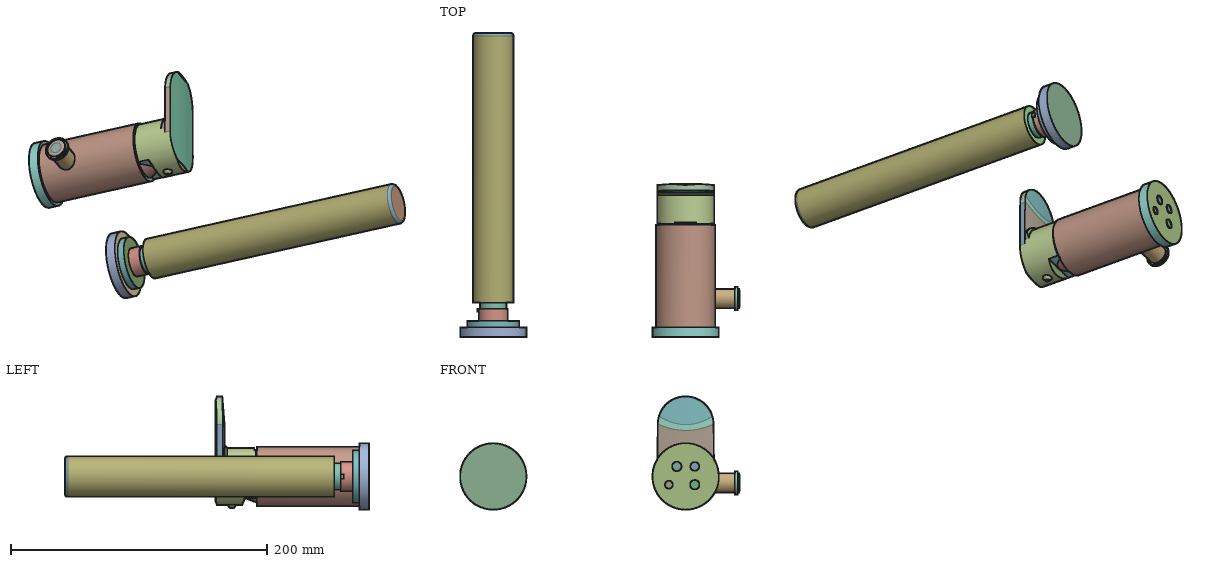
import cadquery as cq
import math

MIXER_X = 150.0
OVERALL_WIDTH = 218.5
OVERALL_HEIGHT = 88.5

FLANGE_DIAMETER = 52.0
FLANGE_RADIUS = FLANGE_DIAMETER / 2
FLANGE_THICKNESS = 7.5

HOLDER_STEP_RADIUS = 20.5
HOLDER_STEP_END = 12.8
SOCKET_RADIUS = 11.5
SOCKET_END = 22.0
LUG_REACH = 12.4
LUG_WIDTH = 3.8
LUG_LENGTH = 2.4
WAND_NECK_RADIUS = 10.5
WAND_RADIUS = 16.0
WAND_START = 27.0
WAND_END = 237.5
WAND_TIP_FILLET = 2.4

BODY_RADIUS = 23.3
BODY_END = 87.6
COLLAR_RADIUS = 20.5
COLLAR_TIP_RADIUS = 16.6
COLLAR_END = 97.4
PORT_DEPTH = 0.5
PORTS = [(-7.0, 7.8, 7.4), (7.1, 7.8, 7.0), (7.1, -6.5, 7.4), (-13.0, -6.5, 6.2)]

KNOB_Y = 30.2
KNOB_Z = -5.0
KNOB_STEM_RADIUS = 7.5
KNOB_RIM_RADIUS = 9.3
KNOB_CROWN_RADIUS = 7.5
KNOB_CROWN_EDGE_RADIUS = 4.3
KNOB_RIM_START = 38.5
KNOB_RIM_END = 40.8
KNOB_CROWN_EDGE = 41.8
KNOB_END = OVERALL_WIDTH - FLANGE_RADIUS - MIXER_X

LEVER_RADIUS = 22.3
SLEEVE_GAP = 1.0
SLEEVE_START = BODY_END + SLEEVE_GAP
TOP_RELIEF_DEPTH = 1.0
TOP_RELIEF_Z = 20.7
UNDER_RELIEF_Z = -16.9
UNDER_RELIEF_INNER_Y = 97.0
UNDER_RELIEF_OUTER_Y = 99.0
PLUG_Y = 107.0
PLUG_BASE_RADIUS = 5.2
PLUG_TIP_RADIUS = 1.5
PLUG_END_Z = -24.7

BLADE_TOP_HALF_WIDTH = 21.8
BLADE_TOP_Z = OVERALL_HEIGHT - FLANGE_RADIUS
BLADE_ARC_Z = BLADE_TOP_Z - BLADE_TOP_HALF_WIDTH
BLADE_EDGE_FRONT = 114.2
BLADE_EDGE_BACK = 118.8
FRONT_CROWN = 1.7
BACK_CROWN = 1.2
BACK_BEVEL_LENGTH = 3.0
FLARE_SIZE = 2.0

BEND_TILT = 2.3
LOWER_BEND_Z = 36.0
UPPER_BEND_Z = 40.5
LOWER_BEND_CROWN = 1.45
UPPER_BEND_CROWN = 1.15


def disc(radius, start, end, x=0.0):
    """Round bar parallel to Y, between two Y values."""
    return cq.Workplane("XZ", origin=(x, start, 0)).circle(radius).extrude(start - end)


def tapered_disc(start_radius, end_radius, start, end, x=0.0):
    """Truncated cone parallel to Y."""
    cone = cq.Solid.makeCone(
        start_radius, end_radius, end - start, cq.Vector(x, start, 0), cq.Vector(0, 1, 0)
    )
    return cq.Workplane(obj=cone)


def make_wand():
    """Round grip with a thinner neck that rests on the holder socket."""
    grip = disc(WAND_RADIUS, WAND_START, WAND_END).faces(">Y").edges().fillet(WAND_TIP_FILLET)
    return grip.union(disc(WAND_NECK_RADIUS, SOCKET_END, WAND_START))


def make_holder():
    """Stepped flange and socket, with a small lug on the -X side of the socket."""
    flange = disc(FLANGE_RADIUS, 0, FLANGE_THICKNESS)
    step = disc(HOLDER_STEP_RADIUS, FLANGE_THICKNESS, HOLDER_STEP_END)
    socket = disc(SOCKET_RADIUS, HOLDER_STEP_END, SOCKET_END)
    lug = cq.Workplane("XY").box(LUG_REACH, LUG_LENGTH, LUG_WIDTH, centered=(False, False, True))
    lug = lug.translate((-LUG_REACH, SOCKET_END - LUG_LENGTH, 0))
    return flange.union(step).union(socket).union(lug)


def make_knob():
    """Stem, rim and shallow crown turned about an axis parallel to X."""
    half_profile = [
        (0, 0),
        (0, KNOB_STEM_RADIUS),
        (KNOB_RIM_START, KNOB_STEM_RADIUS),
        (KNOB_RIM_START, KNOB_RIM_RADIUS),
        (KNOB_RIM_END, KNOB_RIM_RADIUS),
        (KNOB_RIM_END, KNOB_CROWN_RADIUS),
        (KNOB_CROWN_EDGE, KNOB_CROWN_RADIUS),
        (KNOB_END, KNOB_CROWN_EDGE_RADIUS),
        (KNOB_END, 0),
    ]
    knob = cq.Workplane("XY").polyline(half_profile).close().revolve(360, (0, 0, 0), (1, 0, 0))
    return knob.translate((MIXER_X, KNOB_Y, KNOB_Z))


def make_collar():
    """Cone on the end of the mixer body that sits inside the lever sleeve."""
    return tapered_disc(COLLAR_RADIUS, COLLAR_TIP_RADIUS, BODY_END, COLLAR_END, MIXER_X)


def make_mixer_body():
    """Flanged barrel with the collar, the knob and shallow round ports in its wall face."""
    body = disc(FLANGE_RADIUS, 0, FLANGE_THICKNESS, MIXER_X)
    body = body.union(disc(BODY_RADIUS, FLANGE_THICKNESS, BODY_END, MIXER_X))
    body = body.union(make_collar()).union(make_knob())
    for x, z, diameter in PORTS:
        port = disc(diameter / 2, 0, PORT_DEPTH, MIXER_X + x).translate((0, 0, z))
        body = body.cut(port)
    return body


def make_bend_limit(bend_y, bend_z, crown, tilt):
    """Wide cylinder that tilts about X where the front face bends, to thin the blade above it."""
    radius = (LEVER_RADIUS**2 + crown**2) / (2 * crown)
    limit = cq.Workplane("XY", origin=(0, bend_y + radius, bend_z)).circle(radius)
    limit = limit.extrude(2 * BLADE_TOP_Z, both=True)
    return limit.rotate((0, bend_y, bend_z), (1, bend_y, bend_z), -tilt)


def make_back_bevel(end_z, inward):
    """Wedge that takes the crown off the back of the blade at its top or bottom end."""
    return (
        cq.Workplane("YZ", origin=(-LEVER_RADIUS, 0, 0))
        .moveTo(BLADE_EDGE_BACK, end_z)
        .lineTo(BLADE_EDGE_BACK + BACK_CROWN, end_z + inward * BACK_BEVEL_LENGTH)
        .lineTo(BLADE_EDGE_BACK + BACK_CROWN, end_z)
        .close()
        .extrude(2 * LEVER_RADIUS)
    )


def make_blade():
    """Blade centred on X = 0."""
    outline = (
        cq.Workplane("XZ")
        .moveTo(-LEVER_RADIUS, 0)
        .lineTo(-BLADE_TOP_HALF_WIDTH, BLADE_ARC_Z)
        .threePointArc((0, BLADE_TOP_Z), (BLADE_TOP_HALF_WIDTH, BLADE_ARC_Z))
        .lineTo(LEVER_RADIUS, 0)
        .threePointArc((0, -LEVER_RADIUS), (-LEVER_RADIUS, 0))
        .close()
        .extrude(-(BLADE_EDGE_BACK + BACK_CROWN))
    )
    crest_y = BLADE_EDGE_FRONT - FRONT_CROWN
    crowned_slab = (
        cq.Workplane("XY")
        .moveTo(-LEVER_RADIUS, BLADE_EDGE_FRONT)
        .threePointArc((0, crest_y), (LEVER_RADIUS, BLADE_EDGE_FRONT))
        .lineTo(LEVER_RADIUS, BLADE_EDGE_BACK)
        .threePointArc((0, BLADE_EDGE_BACK + BACK_CROWN), (-LEVER_RADIUS, BLADE_EDGE_BACK))
        .close()
        .extrude(2 * BLADE_TOP_Z, both=True)
    )
    upper_bend_y = crest_y + (UPPER_BEND_Z - LOWER_BEND_Z) * math.tan(math.radians(BEND_TILT))
    lower_limit = make_bend_limit(crest_y, LOWER_BEND_Z, LOWER_BEND_CROWN, BEND_TILT)
    upper_limit = make_bend_limit(upper_bend_y, UPPER_BEND_Z, UPPER_BEND_CROWN, 2 * BEND_TILT)
    blade = outline.intersect(crowned_slab).intersect(lower_limit).intersect(upper_limit)
    return blade.cut(make_back_bevel(BLADE_TOP_Z, -1)).cut(make_back_bevel(-LEVER_RADIUS, 1))


def make_flare():
    """Sloping band that eases the upper half of the sleeve into the blade."""
    start = BLADE_EDGE_FRONT - FRONT_CROWN - FLARE_SIZE
    flare = tapered_disc(LEVER_RADIUS, LEVER_RADIUS + FLARE_SIZE, start, start + FLARE_SIZE)
    flare = flare.union(
        disc(LEVER_RADIUS + FLARE_SIZE, start + FLARE_SIZE, BLADE_EDGE_FRONT + FLARE_SIZE)
    )
    keep = cq.Workplane("XY").box(
        2 * BLADE_TOP_HALF_WIDTH, 2 * BLADE_EDGE_BACK, 2 * LEVER_RADIUS, centered=(True, True, False)
    )
    return flare.intersect(keep)


def make_top_relief():
    """Shallow step across the top of the sleeve's open end."""
    relief = cq.Workplane("XY").box(
        2 * LEVER_RADIUS, TOP_RELIEF_DEPTH, LEVER_RADIUS, centered=(True, False, False)
    )
    return relief.translate((0, SLEEVE_START, TOP_RELIEF_Z))


def make_under_relief():
    """Sloping cut across the underside of the sleeve's open end."""
    return (
        cq.Workplane("YZ", origin=(-LEVER_RADIUS, 0, 0))
        .moveTo(SLEEVE_START, UNDER_RELIEF_Z)
        .lineTo(UNDER_RELIEF_INNER_Y, UNDER_RELIEF_Z)
        .lineTo(UNDER_RELIEF_OUTER_Y, -LEVER_RADIUS)
        .lineTo(SLEEVE_START, -LEVER_RADIUS)
        .close()
        .extrude(2 * LEVER_RADIUS)
    )


def make_plug():
    """Tapered plug under the sleeve, rooted in its wall."""
    root_z = -COLLAR_RADIUS
    plug = cq.Solid.makeCone(
        PLUG_BASE_RADIUS, PLUG_TIP_RADIUS, root_z - PLUG_END_Z,
        cq.Vector(0, PLUG_Y, root_z), cq.Vector(0, 0, -1),
    )
    return cq.Workplane(obj=plug)


def make_lever():
    """Sleeve and blade, hollowed to fit the collar."""
    lever = disc(LEVER_RADIUS, SLEEVE_START, BLADE_EDGE_FRONT)
    lever = lever.union(make_blade()).union(make_flare()).union(make_plug())
    lever = lever.cut(make_top_relief()).cut(make_under_relief())
    return lever.translate((MIXER_X, 0, 0)).cut(make_collar())


wand = make_wand()
holder = make_holder()
mixer_body = make_mixer_body()
lever = make_lever()

result = cq.Compound.makeCompound([wand.val(), holder.val(), mixer_body.val(), lever.val()])